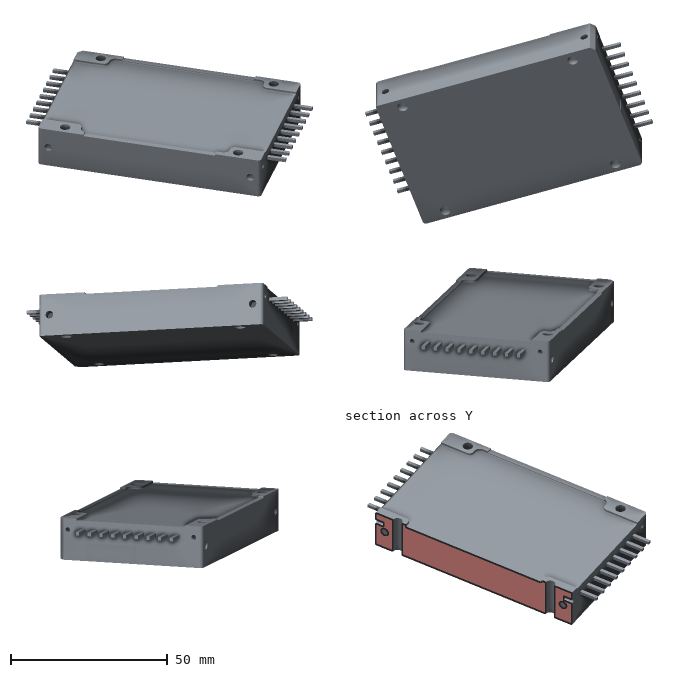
import cadquery as cq

body_length = 73.6
body_width = 48.5
body_height = 13.5
corner_radius = 1.0
corner_chamfer = 1.5

rim_drop = 0.5
floor_cove_radius = 0.4
rim_z = body_height - rim_drop
floor_z = rim_z - floor_cove_radius
recess_half_width = 22.5
pad_inner_y = 18.4
pad_inner_x = 25.6
wide_pad_inner_x = 23.6
pad_corner_radius = 1.5
recess_corner_radius = 2.0
rail_length = 43.6

mounting_hole_diameter = 3.3
mounting_hole_x = 28.6
mounting_hole_y = 21.35
side_hole_diameter = 2.46
side_hole_x = 33.4
side_hole_z = 6.8
side_hole_depth = 3.0
end_hole_diameter = 1.57
end_hole_y = 21.3
end_hole_depth = 3.0

overall_length = 85.71
pin_size = 1.1
pin_pitch = 3.96
pins_per_end = 9
pin_z = 9.8
pin_embedding = 1.0

label_width = 17.0
label_height = 5.5
label_center_y = 6.5
label_bottom_z = 0.2
label_depth = 0.1
label_corner_radius = 0.4

half_length = body_length / 2
half_width = body_width / 2


def make_block():
    block = cq.Workplane("XY").box(body_length, body_width, body_height, centered=(True, True, False))
    block = block.edges("|Z and (<Y or >X)").fillet(corner_radius)
    return block.edges("|Z and <X and >Y").chamfer(corner_chamfer)


def make_recess_cutter():
    """Cross-shaped recess reaching both ends, its walls blending into the floor with a cove."""
    outline = [
        (-half_length, -pad_inner_y),
        (-wide_pad_inner_x, -pad_inner_y),
        (-wide_pad_inner_x, -recess_half_width),
        (pad_inner_x, -recess_half_width),
        (pad_inner_x, -pad_inner_y),
        (half_length, -pad_inner_y),
        (half_length, pad_inner_y),
        (pad_inner_x, pad_inner_y),
        (pad_inner_x, recess_half_width),
        (-pad_inner_x, recess_half_width),
        (-pad_inner_x, pad_inner_y),
        (-half_length, pad_inner_y),
    ]
    cutter = (
        cq.Workplane("XY", origin=(0, 0, floor_z))
        .polyline(outline)
        .close()
        .extrude(body_height - floor_z)
    )
    pad_corner_zone = cq.selectors.BoxSelector(
        (-mounting_hole_x, -pad_inner_y - pad_corner_radius / 2, 0),
        (mounting_hole_x, pad_inner_y + pad_corner_radius / 2, body_height),
    )
    cutter = cutter.edges("|Z and (<Y or >Y)").fillet(recess_corner_radius)
    cutter = cutter.edges("|Z").edges(pad_corner_zone).fillet(pad_corner_radius)
    return cutter.faces("<Z").edges().fillet(floor_cove_radius)


def cut_rails(block):
    """Lower the long sides between the pads to the rim height."""
    return block.cut(
        cq.Workplane("XY", origin=(0, 0, rim_z)).box(
            rail_length, body_width, rim_drop, centered=(True, True, False)
        )
    )


def cut_mounting_holes(block):
    holes = (
        cq.Workplane("XY")
        .rect(2 * mounting_hole_x, 2 * mounting_hole_y, forConstruction=True)
        .vertices()
        .circle(mounting_hole_diameter / 2)
        .extrude(body_height)
    )
    return block.cut(holes)


def cut_side_holes(block):
    """Blind holes near both ends of the two long sides."""
    for y_sign in (-1, 1):
        for x in (-side_hole_x, side_hole_x):
            hole = cq.Solid.makeCylinder(
                side_hole_diameter / 2,
                side_hole_depth,
                cq.Vector(x, y_sign * half_width, side_hole_z),
                cq.Vector(0, -y_sign, 0),
            )
            block = block.cut(cq.Workplane(hole))
    return block


def cut_end_holes(block):
    """Blind holes outside the pin row on both ends."""
    for x_sign in (-1, 1):
        for y in (-end_hole_y, end_hole_y):
            hole = cq.Solid.makeCylinder(
                end_hole_diameter / 2,
                end_hole_depth,
                cq.Vector(x_sign * half_length, y, pin_z),
                cq.Vector(-x_sign, 0, 0),
            )
            block = block.cut(cq.Workplane(hole))
    return block


def cut_label_recess(block):
    recess = (
        cq.Workplane("XY", origin=(-half_length, label_center_y, label_bottom_z + label_height / 2))
        .box(2 * label_depth, label_width, label_height)
        .edges("|X")
        .fillet(label_corner_radius)
    )
    return block.cut(recess)


def add_pins(block):
    pin_length = overall_length / 2 - half_length + pin_embedding
    pin_center_x = overall_length / 2 - pin_length / 2
    for x in (-pin_center_x, pin_center_x):
        for index in range(pins_per_end):
            y = (index - (pins_per_end - 1) / 2) * pin_pitch
            pin = cq.Workplane("XY", origin=(x, y, pin_z)).box(pin_length, pin_size, pin_size)
            block = block.union(pin)
    return block


housing = make_block()
housing = housing.cut(make_recess_cutter())
housing = cut_rails(housing)
housing = cut_mounting_holes(housing)
housing = cut_side_holes(housing)
housing = cut_end_holes(housing)
housing = cut_label_recess(housing)
result = add_pins(housing)